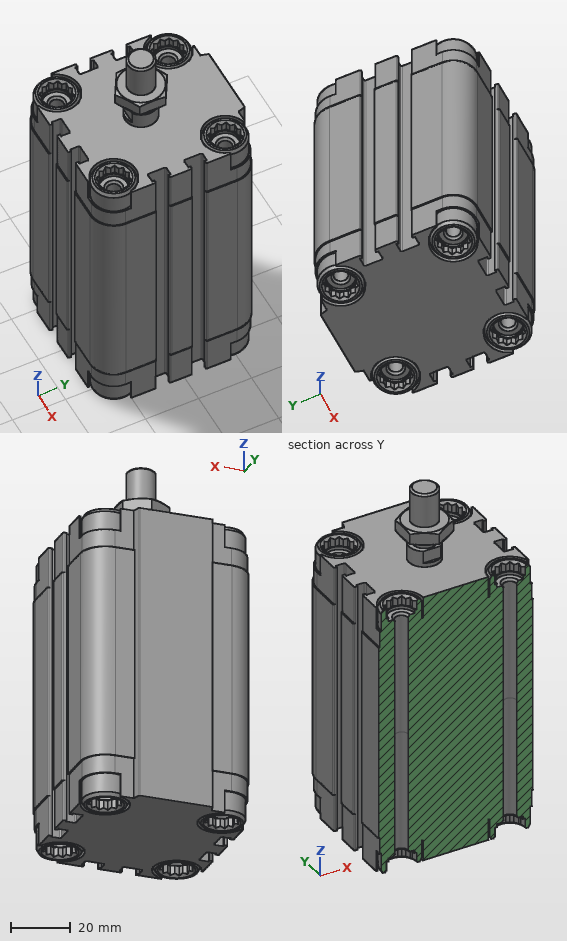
import cadquery as cq
import math

TOTAL_HEIGHT = 134.0
HOUSING_HEIGHT = 105.7
CAP_HEIGHT = 14.6

HALF_WIDTH = 30.0
CORNER_RADIUS = 9.0
CAP_INSET = 0.4
SCREW_OFFSET = HALF_WIDTH - CORNER_RADIUS

STRIP_Y = 32.4
STRIP_TOP_HALF = 13.3
STRIP_BASE_HALF = 14.1
STRIP_FILLET = 0.4

SLOT_OFFSET = 6.8
SLOT_FLOOR = 24.9
SLOT_LIP_Y = 28.4
SLOT_OPENING = 5.2
SLOT_INNER = 7.0
SLOT_FILLET = 0.5
SLOT_EDGE_RADIUS = 0.4

RECESS_DIAMETER = 16.6
RECESS_DEPTH = 8.2
RECESS_CORNER_EDGE = 2.3
HEAD_DIAMETER = 16.0
HEAD_CHAMFER_WIDTH = 0.8
HEAD_CHAMFER_HEIGHT = 1.3

SOCKET_MOUTH_DIAMETER = 12.7
SOCKET_MOUTH_DEPTH = 1.3
SOCKET_FLATS = 10.0
SOCKET_POINT_DEPTH = 4.0
SOCKET_DEPTH = 5.2
HOLE_DIAMETER = 5.0
HOLE_MOUTH_DIAMETER = 6.4
HOLE_MOUTH_DEPTH = 1.0

ROD_DIAMETER = 12.0
ROD_FLATS = 10.0
ROD_FLATS_BOTTOM = 107.3
SHOULDER_Z = 112.0
NECK_DIAMETER = 8.5
NECK_TOP = 114.2
THREAD_DIAMETER = 10.0
THREAD_CHAMFER_HEIGHT = 0.7

NUT_BOTTOM = 116.0
NUT_HEIGHT = 5.0
NUT_FLATS = 17.0
NUT_FACE_DIAMETER = 16.5
NUT_CHAMFER_HEIGHT = 0.5


def hexagon_corner_diameter(across_flats):
    return across_flats / math.cos(math.pi / 6)


def rounded_block(half_width, bottom, height):
    return (
        cq.Workplane("XY", origin=(0, 0, bottom))
        .rect(2 * half_width, 2 * half_width)
        .extrude(height)
        .edges("|Z")
        .fillet(half_width - SCREW_OFFSET)
    )


def side_strip():
    return (
        cq.Workplane("XY")
        .moveTo(-STRIP_BASE_HALF, 0)
        .lineTo(-STRIP_BASE_HALF, HALF_WIDTH - CAP_INSET)
        .lineTo(-STRIP_TOP_HALF, STRIP_Y)
        .lineTo(STRIP_TOP_HALF, STRIP_Y)
        .lineTo(STRIP_BASE_HALF, HALF_WIDTH - CAP_INSET)
        .lineTo(STRIP_BASE_HALF, 0)
        .close()
        .extrude(HOUSING_HEIGHT)
        .edges("|Z and >Y")
        .fillet(STRIP_FILLET)
    )


def t_slot(offset, half_width, bottom, height):
    """T-slot in the -Y side of a block, centred on x = offset, with rounded outer edges."""
    opening = SLOT_OPENING / 2
    return (
        cq.Workplane("XY", origin=(0, 0, bottom))
        .moveTo(0, -SLOT_FLOOR)
        .lineTo(SLOT_INNER / 2, -SLOT_FLOOR)
        .lineTo(SLOT_INNER / 2, -SLOT_LIP_Y)
        .lineTo(opening, -SLOT_LIP_Y)
        .lineTo(opening, SLOT_EDGE_RADIUS - half_width)
        .tangentArcPoint((opening + SLOT_EDGE_RADIUS, -half_width), relative=False)
        .lineTo(0, -half_width)
        .mirrorY()
        .extrude(height)
        .edges("|Z and >Y")
        .fillet(SLOT_FILLET)
        .translate((offset, 0, 0))
    )


def slotted_block(half_width, bottom, height):
    """Square block with rounded corners and two T-slots in each side but +Y."""
    block = rounded_block(half_width, bottom, height)
    for side_angle in (-90, 0, 90):
        for offset in (-SLOT_OFFSET, SLOT_OFFSET):
            slot = t_slot(offset, half_width, bottom, height)
            block = block.cut(slot.rotate((0, 0, 0), (0, 0, 1), side_angle))
    return block


def screw_head():
    """Chamfered screw head on the Z axis, with its top face on z = 0."""
    radius = HEAD_DIAMETER / 2
    return (
        cq.Workplane("XZ")
        .moveTo(0, -RECESS_DEPTH)
        .lineTo(radius, -RECESS_DEPTH)
        .lineTo(radius, -HEAD_CHAMFER_HEIGHT)
        .lineTo(radius - HEAD_CHAMFER_WIDTH, 0)
        .lineTo(0, 0)
        .close()
        .revolve(360, (0, 0), (0, 1))
    )


def screw_socket():
    """Space of the socket and of half the through hole, with its mouth on z = 0."""
    bore_radius = SOCKET_FLATS / 2
    hole_radius = HOLE_DIAMETER / 2
    socket = (
        cq.Workplane("XZ")
        .lineTo(SOCKET_MOUTH_DIAMETER / 2, 0)
        .lineTo(bore_radius, -SOCKET_MOUTH_DEPTH)
        .lineTo(bore_radius, -SOCKET_DEPTH)
        .lineTo(HOLE_MOUTH_DIAMETER / 2, -SOCKET_DEPTH)
        .lineTo(hole_radius, -SOCKET_DEPTH - HOLE_MOUTH_DEPTH)
        .lineTo(hole_radius, -HOUSING_HEIGHT / 2)
        .lineTo(0, -HOUSING_HEIGHT / 2)
        .close()
        .revolve(360, (0, 0), (0, 1))
    )
    for turn in (0, 30):
        hexagon = (
            cq.Workplane("XY", origin=(0, 0, -SOCKET_POINT_DEPTH))
            .transformed(rotate=(0, 0, turn))
            .polygon(6, hexagon_corner_diameter(SOCKET_FLATS))
            .extrude(SOCKET_POINT_DEPTH)
        )
        socket = socket.union(hexagon)
    return socket


def head_clearance():
    """Space around a screw head: a round recess that opens outward to the +X +Y corner."""
    corner_size = CORNER_RADIUS + RECESS_CORNER_EDGE
    corner = (
        cq.Workplane("XY")
        .moveTo(-RECESS_CORNER_EDGE, -RECESS_CORNER_EDGE)
        .rect(corner_size, corner_size, centered=False)
        .extrude(-RECESS_DEPTH)
    )
    recess = cq.Workplane("XY").circle(RECESS_DIAMETER / 2).extrude(-RECESS_DEPTH)
    return recess.union(corner).cut(screw_head())


def at_screws(tool):
    """Copies of a shape under z = 0, turned to each corner, at the top and mirrored at the bottom."""
    corner_tool = tool.translate((SCREW_OFFSET, SCREW_OFFSET, 0))
    copies = []
    for corner in range(4):
        turned = corner_tool.rotate((0, 0, 0), (0, 0, 1), 90 * corner)
        copies.append(turned.translate((0, 0, HOUSING_HEIGHT)))
        copies.append(turned.mirror("XY"))
    return copies


def make_housing():
    barrel_height = HOUSING_HEIGHT - 2 * CAP_HEIGHT
    housing = slotted_block(HALF_WIDTH - CAP_INSET, 0, HOUSING_HEIGHT)
    housing = housing.union(slotted_block(HALF_WIDTH, CAP_HEIGHT, barrel_height))
    housing = housing.union(side_strip())

    for clearance in at_screws(head_clearance()):
        housing = housing.cut(clearance)
    for socket in at_screws(screw_socket()):
        housing = housing.cut(socket)
    return housing


def make_rod():
    """Rod standing on the housing, with wrench flats, a neck and a threaded end."""
    rod_radius = ROD_DIAMETER / 2
    neck_radius = NECK_DIAMETER / 2
    thread_radius = THREAD_DIAMETER / 2
    rod = (
        cq.Workplane("XZ")
        .moveTo(0, HOUSING_HEIGHT)
        .lineTo(rod_radius, HOUSING_HEIGHT)
        .lineTo(rod_radius, SHOULDER_Z)
        .lineTo(neck_radius, SHOULDER_Z)
        .lineTo(neck_radius, NECK_TOP)
        .lineTo(thread_radius, NECK_TOP + THREAD_CHAMFER_HEIGHT)
        .lineTo(thread_radius, TOTAL_HEIGHT - THREAD_CHAMFER_HEIGHT)
        .lineTo(neck_radius, TOTAL_HEIGHT)
        .lineTo(0, TOTAL_HEIGHT)
        .close()
        .revolve(360, (0, 0), (0, 1))
    )
    flat_depth = (ROD_DIAMETER - ROD_FLATS) / 2
    flat_cuts = (
        cq.Workplane("XY", origin=(0, 0, ROD_FLATS_BOTTOM))
        .pushPoints([(0, side * (ROD_FLATS + flat_depth) / 2) for side in (-1, 1)])
        .rect(ROD_DIAMETER, flat_depth)
        .extrude(SHOULDER_Z - ROD_FLATS_BOTTOM)
    )
    return rod.cut(flat_cuts)


def make_nut():
    """Hexagon nut with both faces chamfered, on the threaded end of the rod."""
    corner_radius = hexagon_corner_diameter(NUT_FLATS) / 2
    face_radius = NUT_FACE_DIAMETER / 2
    nut_top = NUT_BOTTOM + NUT_HEIGHT
    hexagon = (
        cq.Workplane("XY", origin=(0, 0, NUT_BOTTOM))
        .transformed(rotate=(0, 0, 30))
        .polygon(6, 2 * corner_radius)
        .circle(THREAD_DIAMETER / 2)
        .extrude(NUT_HEIGHT)
    )
    chamfered_disc = (
        cq.Workplane("XZ")
        .moveTo(0, NUT_BOTTOM)
        .lineTo(face_radius, NUT_BOTTOM)
        .lineTo(corner_radius, NUT_BOTTOM + NUT_CHAMFER_HEIGHT)
        .lineTo(corner_radius, nut_top - NUT_CHAMFER_HEIGHT)
        .lineTo(face_radius, nut_top)
        .lineTo(0, nut_top)
        .close()
        .revolve(360, (0, 0), (0, 1))
    )
    return hexagon.intersect(chamfered_disc)


housing = make_housing()
rod = make_rod()
nut = make_nut()

result = cq.Compound.makeCompound([housing.val(), rod.val(), nut.val()])